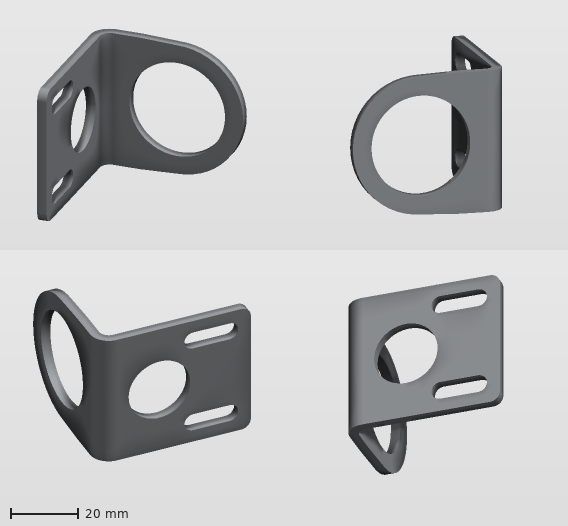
import cadquery as cq

thickness = 3.0
inner_bend_radius = 3.0
outer_bend_radius = inner_bend_radius + thickness
height = 42.95
leg_length = 49.55
overall_width = 47.35

eye_radius = 20.95
eye_x = overall_width - eye_radius
eye_bore_diameter = 30.4
taper_start_x = 14.4

leg_corner_radius = 3.1
leg_hole_diameter = 20.0
leg_hole_y = -19.85
slot_length = 17.45
slot_width = 5.65
slot_y = -36.7
slot_spacing = 29.1


def bent_sheet():
    """L-shaped strip with a constant thickness round the bend."""
    outline = (
        cq.Workplane("XY")
        .polyline([
            (0, 0),
            (overall_width, 0),
            (overall_width, -thickness),
            (thickness, -thickness),
            (thickness, -leg_length),
            (0, -leg_length),
        ])
        .close()
        .extrude(height / 2, both=True)
    )
    sheet = outline.edges(cq.NearestToPointSelector((0, 0, 0))).fillet(outer_bend_radius)
    inner_corner = cq.NearestToPointSelector((thickness, -thickness, 0))
    return sheet.edges(inner_corner).fillet(inner_bend_radius)


def eye_outline():
    """Flange silhouette: straight edges, slight tapers, half-round end."""
    half_height = height / 2
    return (
        cq.Workplane("XZ")
        .moveTo(0, -half_height)
        .lineTo(taper_start_x, -half_height)
        .lineTo(eye_x, -eye_radius)
        .threePointArc((overall_width, 0), (eye_x, eye_radius))
        .lineTo(taper_start_x, half_height)
        .lineTo(0, half_height)
        .close()
        .extrude(leg_length)
    )


def eye_bore():
    return (
        cq.Workplane("XZ")
        .center(eye_x, 0)
        .circle(eye_bore_diameter / 2)
        .extrude(thickness)
    )


def leg_openings():
    """Round hole and two slots through the mounting leg."""
    hole = (
        cq.Workplane("YZ")
        .center(leg_hole_y, 0)
        .circle(leg_hole_diameter / 2)
        .extrude(thickness)
    )
    slots = (
        cq.Workplane("YZ")
        .pushPoints([(slot_y, side * slot_spacing / 2) for side in (-1, 1)])
        .slot2D(slot_length, slot_width)
        .extrude(thickness)
    )
    return hole.union(slots)


bracket = bent_sheet().intersect(eye_outline())
bracket = bracket.faces("<Y").edges("|X").fillet(leg_corner_radius)
result = bracket.cut(eye_bore()).cut(leg_openings())